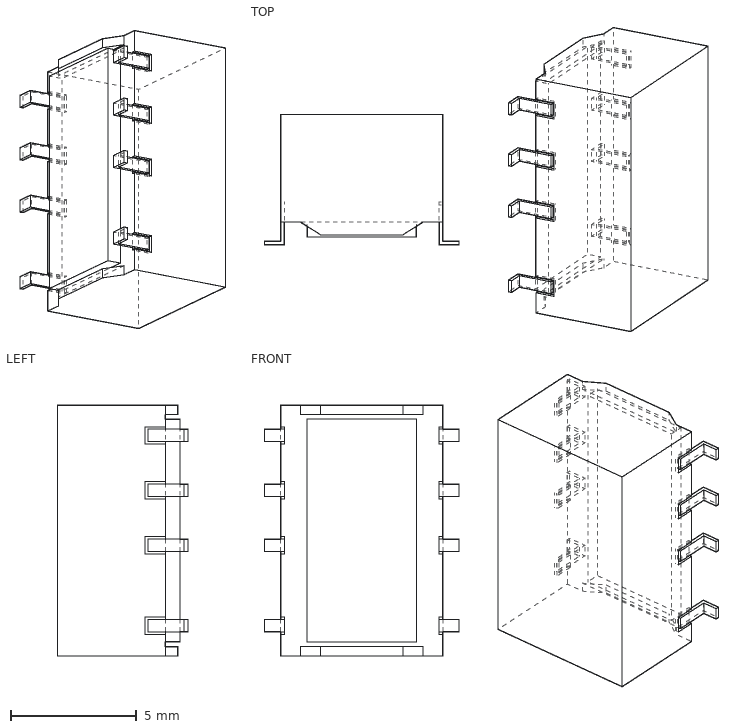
import cadquery as cq

HEIGHT = 10.0
WIDTH = 6.47
DEPTH = 4.3
BACK_Y = 2.6
FRONT_Y = BACK_Y - DEPTH

LIP_THICKNESS = 0.38
LIP_PROJECTION = 0.5
LIP_ROOT_WIDTH = 4.88
LIP_TIP_WIDTH = 3.28

PLATE_WIDTH = 4.35
PLATE_HEIGHT = 8.88
PLATE_THICKNESS = 0.59

OVERALL_WIDTH = 7.76
OVERALL_DEPTH = 5.2
LEAD_THICKNESS = 0.15
LEAD_WIDTH = 0.5
LEAD_END_LEVEL = 3.79
LEAD_PITCH = 2.19
LEAD_LEVELS = [
    LEAD_END_LEVEL,
    LEAD_END_LEVEL - LEAD_PITCH,
    LEAD_END_LEVEL - 2 * LEAD_PITCH,
    -LEAD_END_LEVEL,
]
FOOT_Y = BACK_Y - OVERALL_DEPTH
SIDES = [-1, 1]

SIDE_CLEARANCE = 0.095
END_CLEARANCE = 0.12
NOTCH_LENGTH = 0.81
NOTCH_WIDTH = LEAD_WIDTH + 2 * SIDE_CLEARANCE
NOTCH_BACK_Y = FRONT_Y + NOTCH_LENGTH
LEAD_BACK_Y = NOTCH_BACK_Y - END_CLEARANCE


def extrude_along_z(points, bottom, height):
    """Extrude an (x, y) outline upward from the level `bottom`."""
    return cq.Workplane("XY").workplane(offset=bottom).polyline(points).close().extrude(height)


def make_lip(bottom):
    outline = [
        (-LIP_ROOT_WIDTH / 2, FRONT_Y),
        (-LIP_TIP_WIDTH / 2, FRONT_Y - LIP_PROJECTION),
        (LIP_TIP_WIDTH / 2, FRONT_Y - LIP_PROJECTION),
        (LIP_ROOT_WIDTH / 2, FRONT_Y),
    ]
    return extrude_along_z(outline, bottom, LIP_THICKNESS)


def make_notch(side, level):
    """Cutter as deep in X as a lead is thick, open to the side and front faces."""
    center_x = side * (WIDTH - LEAD_THICKNESS) / 2
    center_y = FRONT_Y + NOTCH_LENGTH / 2
    return cq.Workplane("XY").box(LEAD_THICKNESS, NOTCH_LENGTH, NOTCH_WIDTH).translate(
        (center_x, center_y, level)
    )


def make_housing():
    housing = cq.Workplane("XY").box(WIDTH, DEPTH, HEIGHT).translate((0, FRONT_Y + DEPTH / 2, 0))
    for lip_bottom in (-HEIGHT / 2, HEIGHT / 2 - LIP_THICKNESS):
        housing = housing.union(make_lip(lip_bottom))
    for side in SIDES:
        for level in LEAD_LEVELS:
            housing = housing.cut(make_notch(side, level))
    return housing


def make_plate():
    center_y = FRONT_Y - PLATE_THICKNESS / 2
    return cq.Workplane("XY").box(PLATE_WIDTH, PLATE_THICKNESS, PLATE_HEIGHT).translate((0, center_y, 0))


def make_lead(side, level):
    """Strip flush with the housing side, bent outward into a foot at its front end."""
    outer_x = side * WIDTH / 2
    inner_x = side * (WIDTH / 2 - LEAD_THICKNESS)
    tip_x = side * OVERALL_WIDTH / 2
    foot_back_y = FOOT_Y + LEAD_THICKNESS
    outline = [
        (inner_x, LEAD_BACK_Y),
        (outer_x, LEAD_BACK_Y),
        (outer_x, foot_back_y),
        (tip_x, foot_back_y),
        (tip_x, FOOT_Y),
        (inner_x, FOOT_Y),
    ]
    return extrude_along_z(outline, level - LEAD_WIDTH / 2, LEAD_WIDTH)


housing = make_housing()
plate = make_plate()
leads = [make_lead(side, level) for side in SIDES for level in LEAD_LEVELS]

result = cq.Compound.makeCompound([housing.val(), plate.val(), *[lead.val() for lead in leads]])